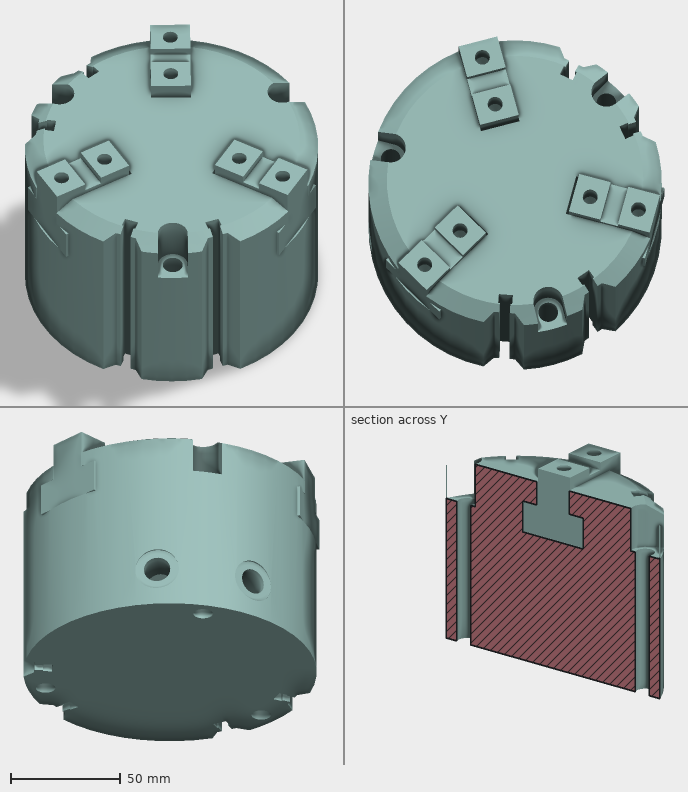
import cadquery as cq
import math

body_radius = 67.0
body_height = 89.8
total_height = 96.0
chamfer_radius = 58.5
chamfer_height = 4.7

bolt_angles = (90, 210, 330)
bolt_circle_radius = 58.8
bolt_hole_diameter = 9.0
bolt_head_width = 13.7
bolt_seat_height = 69.0

groove_angles = (190.6, 230.3, 309.7, 349.4)
groove_floor_radius = 53.8
groove_floor_width = 6.4
groove_neck_radius = 58.0
groove_neck_width = 4.8
groove_land_radius = 61.9
groove_land_width = 9.6
groove_flare_angle = 45
groove_overcut = 1.3

jaw_angles = (30, 150, 270)
jaw_stem_width = 18.2
jaw_foot_width = 34.3
jaw_foot_bottom = 63.2
jaw_foot_top = 78.2
jaw_inner_radius = 27.8
jaw_outer_radius = 66.0
guide_inner_radius = 26.4
notch_inner_radius = 42.7
notch_outer_radius = 51.0
notch_depth = 3.7
jaw_hole_diameter = 6.8
jaw_hole_radii = (35.5, 58.2)
jaw_hole_depth = 13.4
drill_tip_angle = 118

port_angles = (70, 110)
port_height = 18.1
port_diameter = 12.0
port_depth = 16.0
spotface_diameter = 20.0
spotface_radius = 66.1


def turned(solid, angle):
    """Turn a feature built along +X to the given direction about Z."""
    return solid.rotate((0, 0, 0), (0, 0, 1), angle)


def make_body():
    half_section = [
        (0, 0),
        (body_radius, 0),
        (body_radius, body_height - chamfer_height),
        (chamfer_radius, body_height),
        (0, body_height),
    ]
    return cq.Workplane("XZ").polyline(half_section).close().revolve(360, (0, 0), (0, 1))


def make_bolt_cutter():
    """Through hole with an open-sided seat for the bolt head."""
    axis = cq.Workplane("XY", origin=(bolt_circle_radius, 0, 0))
    hole = axis.circle(bolt_hole_diameter / 2).extrude(body_height)

    seat_depth = body_height - bolt_seat_height
    seat_plane = axis.workplane(offset=bolt_seat_height)
    seat = seat_plane.circle(bolt_head_width / 2).extrude(seat_depth)
    opening = seat_plane.box(
        body_radius - bolt_circle_radius, bolt_head_width, seat_depth, centered=(False, True, False)
    )
    return hole.union(seat).union(opening)


def make_groove_cutter():
    """Full-height T-groove whose mouth opens out to the body surface."""
    mouth_radius = body_radius + groove_overcut
    flare = (mouth_radius - groove_land_radius) * math.tan(math.radians(groove_flare_angle))
    mouth_half = groove_land_width / 2 + flare
    side = [
        (groove_floor_radius, groove_floor_width / 2),
        (groove_neck_radius, groove_floor_width / 2),
        (groove_neck_radius, groove_neck_width / 2),
        (groove_land_radius, groove_neck_width / 2),
        (groove_land_radius, groove_land_width / 2),
        (mouth_radius, mouth_half),
    ]
    other_side = [(r, -t) for r, t in reversed(side)]
    return cq.Workplane("XY").polyline(side + other_side).close().extrude(body_height)


def make_t_bar(inner_radius, outer_radius):
    """Radial bar with a wide foot and a narrow stem, up to the top of the jaws."""
    length = outer_radius - inner_radius
    foot_height = jaw_foot_top - jaw_foot_bottom
    stem_height = total_height - jaw_foot_bottom
    start = cq.Workplane("XY", origin=(inner_radius, 0, jaw_foot_bottom))
    foot = start.box(length, jaw_foot_width, foot_height, centered=(False, True, False))
    stem = start.box(length, jaw_stem_width, stem_height, centered=(False, True, False))
    return foot.union(stem)


def make_jaw():
    jaw = make_t_bar(jaw_inner_radius, jaw_outer_radius)
    notch = cq.Workplane("XY", origin=(notch_inner_radius, 0, total_height - notch_depth)).box(
        notch_outer_radius - notch_inner_radius, jaw_stem_width, notch_depth, centered=(False, True, False)
    )
    jaw = jaw.cut(notch)

    hole_radius = jaw_hole_diameter / 2
    tip_length = hole_radius / math.tan(math.radians(drill_tip_angle / 2))
    hole_section = [
        (0, total_height),
        (hole_radius, total_height),
        (hole_radius, total_height - jaw_hole_depth),
        (0, total_height - jaw_hole_depth - tip_length),
    ]
    hole = cq.Workplane("XZ").polyline(hole_section).close().revolve(360, (0, 0), (0, 1))
    for radius in jaw_hole_radii:
        jaw = jaw.cut(hole.translate((radius, 0, 0)))
    return jaw


def make_port_cutter():
    """Radial blind hole with a shallow flat spotface around it."""
    face = cq.Workplane("YZ", origin=(spotface_radius, 0, port_height))
    spotface = face.circle(spotface_diameter / 2).extrude(body_radius - spotface_radius)
    hole = face.circle(port_diameter / 2).extrude(-port_depth)
    return spotface.union(hole)


body = make_body()

bolt_cutter = make_bolt_cutter()
for angle in bolt_angles:
    body = body.cut(turned(bolt_cutter, angle))

groove_cutter = make_groove_cutter()
for angle in groove_angles:
    body = body.cut(turned(groove_cutter, angle))

port_cutter = make_port_cutter()
for angle in port_angles:
    body = body.cut(turned(port_cutter, angle))

guideway = make_t_bar(guide_inner_radius, body_radius)
jaw = make_jaw()
for angle in jaw_angles:
    body = body.cut(turned(guideway, angle)).union(turned(jaw, angle))

result = body